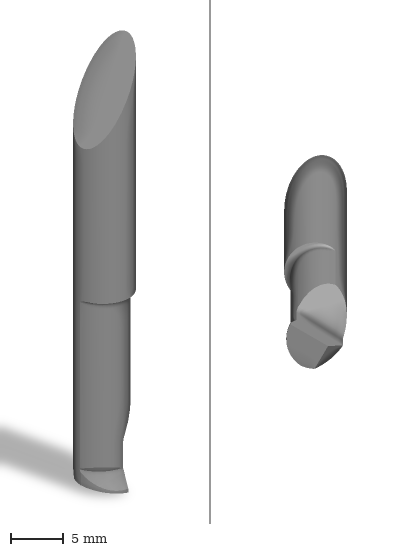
import cadquery as cq
import math

length = 47.45
radius = 3.0
end_slope = math.tan(math.radians(60))
margin = 2.35

neck_shift = -0.7
shoulder_z = 20.4
shoulder_fillet = 0.4
shoulder_slope = math.tan(math.radians(10))
neck_bottom_z = 2.33

rake_y = 0.2
runout_top_z = 10.25
runout_fillet = 1.9

flank_radius = 3.5
flank_center = (-0.5, 0.5)
bottom_angle_x = 6.0
bottom_angle_y = 8.0
corner_top_z = 3.35

groove_center = (-1.45, 0.7)
groove_radius = 3.8
groove_z = 2.4
groove_reach = 2.85
flare_slope = math.tan(math.radians(71))
roof_slope = math.tan(math.radians(67))

joint_low = (1.05, 0.5)
joint_angle = 46.0
joint_length = 9.5


def slanted_bar():
    """Round bar with its top end cut at a slant, highest at +Y."""
    front_z = length - 2 * radius * end_slope
    profile = (
        cq.Workplane("YZ")
        .moveTo(-radius, 0)
        .lineTo(radius, 0)
        .lineTo(radius, length)
        .lineTo(-radius, front_z)
        .close()
        .extrude(radius, both=True)
    )
    return cq.Workplane("XY").circle(radius).extrude(length).intersect(profile)


def neck_cutter():
    """Ring around the shifted neck, closed above by a filleted conical shoulder."""
    outer = radius + margin
    tilt = math.atan(shoulder_slope)
    center_r = radius + shoulder_fillet
    end_r = center_r - shoulder_fillet * math.sin(tilt)
    end_z = shoulder_z + shoulder_fillet * math.cos(tilt)
    middle = (math.pi + math.pi / 2 + tilt) / 2
    return (
        cq.Workplane("XZ", origin=(neck_shift, 0, 0))
        .moveTo(radius, neck_bottom_z)
        .lineTo(radius, shoulder_z)
        .threePointArc(
            (
                center_r + shoulder_fillet * math.cos(middle),
                shoulder_z + shoulder_fillet * math.sin(middle),
            ),
            (end_r, end_z),
        )
        .lineTo(outer, end_z + (outer - end_r) * shoulder_slope)
        .lineTo(outer, neck_bottom_z)
        .close()
        .revolve(360, (0, 0, 0), (0, 1, 0))
    )


def flank_cutter():
    """Ring that relieves the flank of the head below the neck."""
    return (
        cq.Workplane("XY")
        .center(*flank_center)
        .circle(flank_radius + margin)
        .circle(flank_radius)
        .extrude(neck_bottom_z)
    )


def rake_cutter():
    """Removes the +Y half of the head, with a filleted slanted run-out."""
    outer_y = radius + margin
    corner_z = runout_top_z - (radius - rake_y) * end_slope
    cutter = (
        cq.Workplane("YZ")
        .moveTo(rake_y, -margin)
        .lineTo(rake_y, corner_z)
        .lineTo(outer_y, runout_top_z + margin * end_slope)
        .lineTo(outer_y, -margin)
        .close()
        .extrude(radius + margin, both=True)
    )
    corner_edge = cq.selectors.NearestToPointSelector((0, rake_y, corner_z))
    return cutter.edges(corner_edge).fillet(runout_fillet)


def bottom_cutter():
    """Block below the end face, which is lowest at the cutting point."""
    slope_x = math.tan(math.radians(bottom_angle_x))
    slope_y = math.tan(math.radians(bottom_angle_y))
    plane = cq.Plane(
        origin=(radius, rake_y, 0),
        xDir=(1, 0, -slope_x),
        normal=(slope_x, slope_y, 1),
    )
    size = 4 * (radius + margin)
    return cq.Workplane(plane).rect(size, size).extrude(-margin)


def corner_cutter():
    """Wedge below the slanted cut at the -X corner of the head."""
    return (
        cq.Workplane("XZ")
        .moveTo(-radius, corner_top_z)
        .lineTo(-radius + corner_top_z / end_slope, 0)
        .lineTo(-radius, 0)
        .close()
        .extrude(radius + margin, both=True)
    )


def groove_cutter():
    """V-section ring whose lower side is the conical flare leading out to the tip."""
    outer = groove_radius + groove_reach
    return (
        cq.Workplane("XZ")
        .moveTo(groove_radius, groove_z)
        .lineTo(outer, groove_z - groove_reach * flare_slope)
        .lineTo(outer, groove_z + groove_reach * roof_slope)
        .close()
        .revolve(360, (0, 0, 0), (0, 1, 0))
        .translate((*groove_center, 0))
    )


def tip_region():
    """Space on the +X side of the slanted joint plane."""
    angle = math.radians(joint_angle)
    dx = joint_length * math.cos(angle)
    dz = joint_length * math.sin(angle)
    low_x, low_z = joint_low
    return (
        cq.Workplane("XZ")
        .moveTo(low_x - dx, low_z - dz)
        .lineTo(low_x + dx, low_z + dz)
        .lineTo(low_x + dx, low_z - dz)
        .close()
        .extrude(radius + margin, both=True)
    )


whole = slanted_bar()
for cutter in (
    neck_cutter(),
    flank_cutter(),
    rake_cutter(),
    bottom_cutter(),
    corner_cutter(),
    groove_cutter(),
):
    whole = whole.cut(cutter)

head_region = cq.Workplane("XY").box(4 * radius, 4 * radius, 2 * neck_bottom_z)
tip_space = tip_region().intersect(head_region)
tip = whole.intersect(tip_space)
bar = whole.cut(tip_space)

result = cq.Compound.makeCompound([bar.val(), tip.val()])